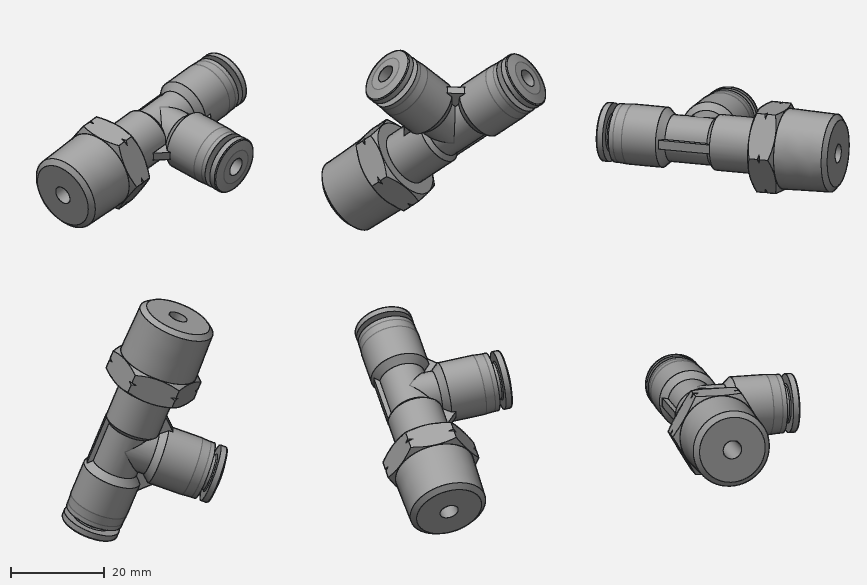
import cadquery as cq
import math

run_length = 53.0
branch_length = 21.5
branch_y = 31.55
bore_radius = 2.0

thread_length = 11.6
thread_tip_radius = 8.4
thread_root_radius = 8.7
thread_chamfer_radius = 7.2
thread_chamfer_length = 0.95

hex_across_flats = 17.45
hex_height = 5.9
hex_face_radius = 8.65
hex_chamfer_angle = 30
groove_depth = 0.5
groove_width = 0.55

body_radius = 6.0
neck_radius = 5.05
shoulder_y = 27.05

port_radius = 6.45
sleeve_radius = 6.3
port_length = 13.95
port_cone_length = 1.6
port_taper_start = 6.25
port_taper_end = 4.25
port_front = 3.1
port_face_rise = 0.15
stem_radius = 4.0
stem_flare = 0.25
disc_back = 1.9
disc_edge_chamfer = 0.2
disc_face_rise = 0.4
disc_flat_radius = 3.9

web_thickness = 1.95
port_side_reach = 15.5
thread_side_reach = 14.95

hex_start = thread_length
hex_end = hex_start + hex_height
hex_corner_radius = hex_across_flats / 2 / math.cos(math.radians(30))


def revolve_about_y(profile):
    """Revolve a closed list of (radius, y) points about the Y axis."""
    return cq.Workplane("XY").polyline(profile).close().revolve(360, (0, 0, 0), (0, 1, 0))


def make_thread():
    return revolve_about_y([
        (0, 0),
        (thread_chamfer_radius, 0),
        (thread_tip_radius, thread_chamfer_length),
        (thread_root_radius, thread_length),
        (0, thread_length),
    ])


def make_hexagon():
    """Hexagon with corners on the X axis, chamfered at both ends and grooved round its corners."""
    prism = (
        cq.Workplane("XZ", origin=(0, hex_start, 0))
        .polygon(6, 2 * hex_corner_radius)
        .extrude(-hex_height)
    )
    chamfer = (hex_corner_radius - hex_face_radius) * math.tan(math.radians(hex_chamfer_angle))
    middle = hex_start + hex_height / 2
    envelope = revolve_about_y([
        (0, hex_start),
        (hex_face_radius, hex_start),
        (hex_corner_radius, hex_start + chamfer),
        (hex_corner_radius, middle - groove_width / 2),
        (hex_corner_radius - groove_depth, middle),
        (hex_corner_radius, middle + groove_width / 2),
        (hex_corner_radius, hex_end - chamfer),
        (hex_face_radius, hex_end),
        (0, hex_end),
    ])
    return prism.intersect(envelope)


def make_body():
    return revolve_about_y([
        (0, hex_start),
        (body_radius, hex_start),
        (body_radius, shoulder_y),
        (neck_radius, shoulder_y + body_radius - neck_radius),
        (neck_radius, run_length - port_length),
        (0, run_length - port_length),
    ])


def make_port(tip, root):
    """Neck and push-in port along +Y, from root to tip."""
    rear = tip - port_length
    return revolve_about_y([
        (0, root),
        (neck_radius, root),
        (neck_radius, rear - port_cone_length),
        (port_radius, rear),
        (port_radius, tip - port_taper_start),
        (sleeve_radius, tip - port_taper_end),
        (sleeve_radius, tip - port_front - port_face_rise),
        (stem_radius, tip - port_front),
        (stem_radius, tip - disc_back - stem_flare),
        (stem_radius + stem_flare, tip - disc_back),
        (sleeve_radius, tip - disc_back),
        (sleeve_radius, tip - disc_face_rise - disc_edge_chamfer),
        (sleeve_radius - disc_edge_chamfer, tip - disc_face_rise),
        (disc_flat_radius, tip),
        (0, tip),
    ])


def to_branch(port):
    """Turn a shape built along +Y so that it points along +X on the branch axis."""
    return port.rotate((0, 0, 0), (0, 0, 1), -90).translate((0, branch_y, 0))


def make_web():
    """Strip flush with the body on the -X side and gussets beside the branch on the +X side."""
    cone_slope = (port_radius - neck_radius) / port_cone_length
    strip_end = run_length - port_length - (port_radius - body_radius) / cone_slope
    outline = [
        (-body_radius, shoulder_y),
        (0, shoulder_y),
        (0, branch_y - thread_side_reach),
        (thread_side_reach, branch_y),
        (port_side_reach, branch_y),
        (0, branch_y + port_side_reach),
        (0, strip_end),
        (-body_radius, strip_end),
    ]
    return cq.Workplane("XY").polyline(outline).close().extrude(web_thickness / 2, both=True)


def make_bores():
    """Through bore along the run, met by the bore of the branch."""
    run_bore = cq.Workplane("XZ").circle(bore_radius).extrude(-run_length)
    branch_bore = (
        cq.Workplane("YZ", origin=(0, branch_y, 0)).circle(bore_radius).extrude(branch_length)
    )
    return run_bore.union(branch_bore)


run_port = make_port(run_length, branch_y)
branch_port = to_branch(make_port(branch_length, 0))

result = (
    make_thread()
    .union(make_hexagon())
    .union(make_body())
    .union(run_port)
    .union(branch_port)
    .union(make_web())
    .cut(make_bores())
)